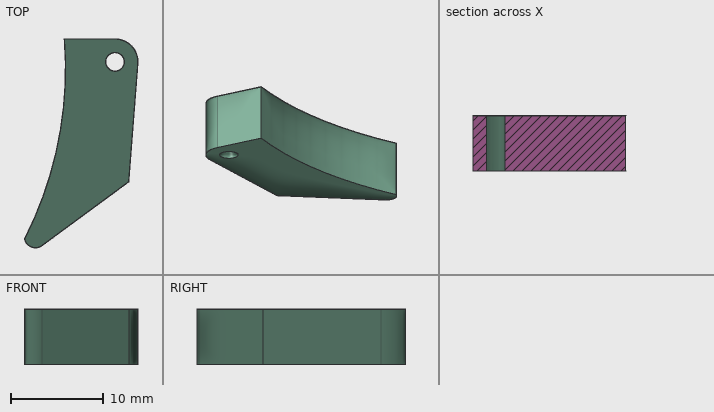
import cadquery as cq
import math

thickness = 6.0
hole_diameter = 2.0
pivot_radius = 2.5
top_left_x = -5.5
heel = (1.5, -13.01)
total_length = 22.67
total_width = 12.3
tip_radius = 1.2
tip_center = (-8.64, pivot_radius - total_length + tip_radius)
concave_mid = (-6.15, -8.57)


def tangent_point(center, radius, point, side):
    """Touch point on a circle of the tangent from an outside point; side +1 is counterclockwise."""
    dx = point[0] - center[0]
    dy = point[1] - center[1]
    angle = math.atan2(dy, dx) + side * math.acos(radius / math.hypot(dx, dy))
    return point_on_circle(center, radius, angle)


def point_on_circle(center, radius, angle):
    return (center[0] + radius * math.cos(angle), center[1] + radius * math.sin(angle))


pivot_center = (0, 0)
top_left = (top_left_x, pivot_radius)
pivot_top = (0, pivot_radius)
pivot_mid = point_on_circle(pivot_center, pivot_radius, math.radians(45))
back_start = tangent_point(pivot_center, pivot_radius, heel, 1)
tip_start = tangent_point(tip_center, tip_radius, heel, -1)
tip_bottom = (tip_center[0], tip_center[1] - tip_radius)
tip_end_x = pivot_radius - total_width
tip_end_drop = math.sqrt(tip_radius**2 - (tip_end_x - tip_center[0]) ** 2)
tip_end = (tip_end_x, tip_center[1] - tip_end_drop)

blade = (
    cq.Workplane("XY")
    .moveTo(*top_left)
    .lineTo(*pivot_top)
    .threePointArc(pivot_mid, back_start)
    .lineTo(*heel)
    .lineTo(*tip_start)
    .threePointArc(tip_bottom, tip_end)
    .threePointArc(concave_mid, top_left)
    .close()
    .extrude(thickness)
)

pivot_hole = cq.Workplane("XY").circle(hole_diameter / 2).extrude(thickness)

result = blade.cut(pivot_hole)